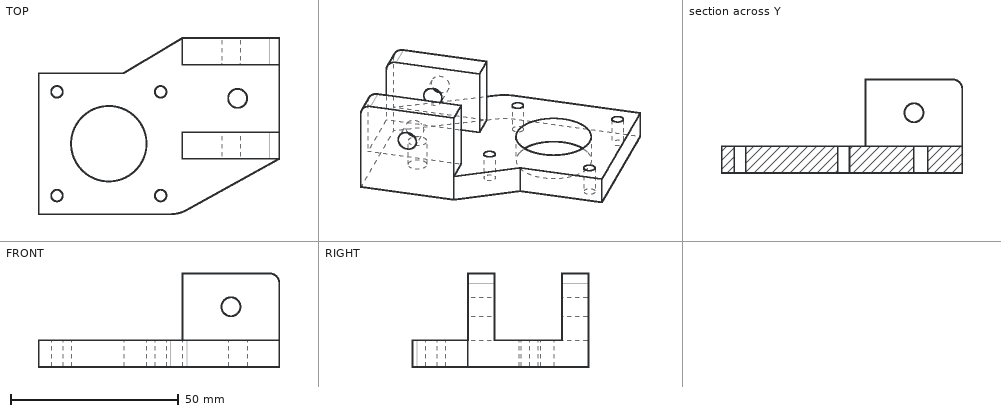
import cadquery as cq

flange_size = 42.2
plate_length = 72.0
plate_width = 52.7
plate_thickness = 8.0
back_slope_start = 25.4
front_slope_start = 42.0
front_corner_radius = 10.0

motor_x = 21.0
motor_y = flange_size / 2
motor_bore_diameter = 22.5
screw_spacing = 31.0
screw_diameter = 3.4

lug_length = 29.0
lug_thickness = 8.0
lug_gap = 20.1
lug_height = 20.0
lug_corner_radius = 3.0
pin_diameter = 5.6
lug_start = plate_length - lug_length
lug_span = 2 * lug_thickness + lug_gap
lug_front = plate_width - lug_span
pin_x = lug_start + lug_length / 2
pin_z = plate_thickness + lug_height / 2

foot_hole_diameter = 5.6
foot_hole_x = 59.5
foot_hole_y = lug_front + lug_span / 2


def make_plate():
    """Plate with two sloped sides; the front slope starts with a rounded corner."""
    plate = (
        cq.Workplane("XY")
        .moveTo(0, 0)
        .lineTo(front_slope_start, 0)
        .lineTo(plate_length, lug_front)
        .lineTo(plate_length, plate_width)
        .lineTo(lug_start, plate_width)
        .lineTo(back_slope_start, flange_size)
        .lineTo(0, flange_size)
        .close()
        .extrude(plate_thickness)
    )
    front_corner = cq.selectors.NearestToPointSelector((front_slope_start, 0, plate_thickness / 2))
    return plate.edges(front_corner).fillet(front_corner_radius)


def make_lug(front_y):
    """Upright lug with its upper outer corner rounded."""
    lug = cq.Workplane("XY").box(lug_length, lug_thickness, lug_height, centered=False)
    lug = lug.edges("|Y and >X and >Z").fillet(lug_corner_radius)
    return lug.translate((lug_start, front_y, plate_thickness))


def vertical_hole(x, y, diameter):
    """Cutter for a hole straight through the plate."""
    return cq.Workplane("XY").center(x, y).circle(diameter / 2).extrude(plate_thickness)


def pin_hole():
    """Cutter for the pin hole running through both lugs along Y."""
    return (
        cq.Workplane("XZ", origin=(pin_x, plate_width, pin_z))
        .circle(pin_diameter / 2)
        .extrude(lug_span)
    )


body = make_plate()
for front_y in (lug_front, lug_front + lug_thickness + lug_gap):
    body = body.union(make_lug(front_y))

body = body.cut(vertical_hole(motor_x, motor_y, motor_bore_diameter))
for x_side in (-1, 1):
    for y_side in (-1, 1):
        screw_x = motor_x + x_side * screw_spacing / 2
        screw_y = motor_y + y_side * screw_spacing / 2
        body = body.cut(vertical_hole(screw_x, screw_y, screw_diameter))

body = body.cut(vertical_hole(foot_hole_x, foot_hole_y, foot_hole_diameter))
body = body.cut(pin_hole())

result = body